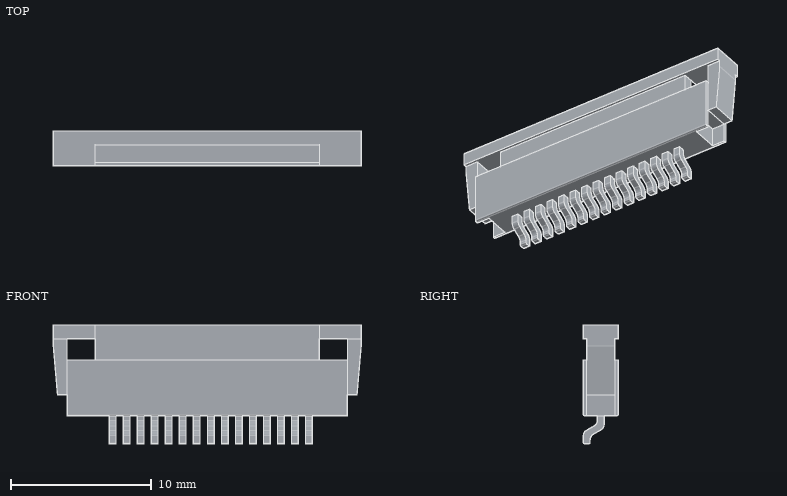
import cadquery as cq
import math

total_length = 22.0
total_depth = 2.5
total_height = 8.5
half_depth = total_depth / 2

housing_length = 20.0
housing_bottom = 2.0
housing_top = 6.0
wall_thickness = 0.25
inner_depth = total_depth - 2 * wall_thickness
cavity_length = 16.0
cavity_floor = 3.0
end_recess_length = 1.0
housing_edge_radius = 0.1

contact_count = 15
contact_pitch = 1.0
contact_width = 0.5
contact_thickness = 0.5
contact_row_center = 0.25
contact_step = 1.0
contact_upper_bend = 1.27
contact_bend_angle = 60.0
contact_bend_radius = 0.45
contact_tip_radius = 0.1

head_bottom = 7.5
tongue_front = 0.25
arm_bottom = 3.5
arm_taper_top = 7.0
arm_tip_inset = 0.3


def block(length, y_front, y_back, z_bottom, z_top, x_center=0.0):
    """Box centered on x_center along X, between the given Y and Z limits."""
    return (
        cq.Workplane("XY", origin=(x_center, (y_front + y_back) / 2, z_bottom))
        .box(length, y_back - y_front, z_top - z_bottom, centered=(True, True, False))
    )


def make_contact(x_center):
    """S-bent contact leg running from the housing underside to its foot."""
    half_thickness = contact_thickness / 2
    drop = contact_step / math.tan(math.radians(contact_bend_angle))
    contact_lower_bend = contact_upper_bend - drop
    miter = half_thickness * math.tan(math.radians(contact_bend_angle / 2))
    root_front = -half_thickness
    root_back = half_thickness
    foot_front = root_front - contact_step
    foot_back = root_back - contact_step

    leg = (
        cq.Workplane("YZ", origin=(x_center - contact_width / 2, 0, 0))
        .moveTo(root_back, housing_bottom)
        .lineTo(root_back, contact_upper_bend - miter)
        .lineTo(foot_back, contact_lower_bend - miter)
        .lineTo(foot_back, 0)
        .lineTo(foot_front, 0)
        .lineTo(foot_front, contact_lower_bend + miter)
        .lineTo(root_front, contact_upper_bend + miter)
        .lineTo(root_front, housing_bottom)
        .close()
        .extrude(contact_width)
    )
    bend_zone = cq.selectors.BoxSelector(
        (x_center - contact_width, -total_depth, contact_tip_radius),
        (x_center + contact_width, total_depth, housing_bottom - contact_tip_radius),
    )
    leg = leg.edges("|X").edges(bend_zone).fillet(contact_bend_radius)
    return leg.faces("<Z").edges("|X").fillet(contact_tip_radius)


def make_housing():
    """Open-topped housing with its row of contacts as one solid."""
    body = block(housing_length, -half_depth, half_depth, housing_bottom, housing_top)
    body = body.faces("<Z").edges("|X").fillet(housing_edge_radius)
    body = body.cut(block(cavity_length, -inner_depth / 2, inner_depth / 2, cavity_floor, housing_top))

    recess_x = (housing_length - end_recess_length) / 2
    for side in (-1, 1):
        body = body.cut(
            block(end_recess_length, -inner_depth / 2, inner_depth / 2,
                  housing_bottom, arm_bottom, side * recess_x)
        )

    first_contact_x = contact_row_center - (contact_count - 1) * contact_pitch / 2
    for index in range(contact_count):
        body = body.union(make_contact(first_contact_x + index * contact_pitch))
    return body


def make_arm(side):
    """Tapered side arm hanging from the slider head against the housing end."""
    inner_x = side * housing_length / 2
    outer_x = side * total_length / 2
    tip_x = outer_x - side * arm_tip_inset
    return (
        cq.Workplane("XZ")
        .moveTo(inner_x, head_bottom)
        .lineTo(outer_x, head_bottom)
        .lineTo(outer_x, arm_taper_top)
        .lineTo(tip_x, arm_bottom)
        .lineTo(inner_x, arm_bottom)
        .close()
        .extrude(inner_depth / 2, both=True)
    )


def make_slider():
    """Locking slider: notched head, tongue down into the cavity, two arms."""
    head = block(total_length, -half_depth, half_depth, head_bottom, total_height)
    cable_notch = block(cavity_length, -half_depth, tongue_front, head_bottom, total_height)
    tongue = block(cavity_length, tongue_front, inner_depth / 2, cavity_floor, total_height)
    slider = head.cut(cable_notch).union(tongue)
    for side in (-1, 1):
        slider = slider.union(make_arm(side))
    return slider


housing = make_housing()
slider = make_slider()

result = cq.Compound.makeCompound([housing.val(), slider.val()])